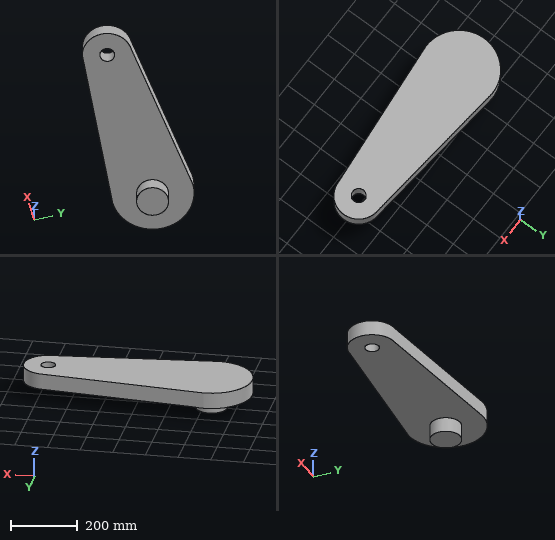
import cadquery as cq

center_distance = 500.0
large_end_radius = 125.0
small_end_radius = 75.0
plate_thickness = 50.0
pin_diameter = 96.0
pin_length = 48.0
hole_diameter = 44.0


def arm_plate():
    """Tapered plate with half-round ends; its underside lies on Z = 0.

    The straight sides join the ends of the two half circles, level with their centres.
    """
    return (
        cq.Workplane("XY")
        .moveTo(0, large_end_radius)
        .lineTo(center_distance, small_end_radius)
        .threePointArc(
            (center_distance + small_end_radius, 0),
            (center_distance, -small_end_radius),
        )
        .lineTo(0, -large_end_radius)
        .threePointArc((-large_end_radius, 0), (0, large_end_radius))
        .close()
        .extrude(plate_thickness)
    )


def pin():
    """Round pin hanging below the plate at the centre of the large end."""
    return cq.Workplane("XY").circle(pin_diameter / 2).extrude(-pin_length)


def through_hole():
    """Cutter for the hole through the plate at the centre of the small end."""
    return (
        cq.Workplane("XY")
        .center(center_distance, 0)
        .circle(hole_diameter / 2)
        .extrude(plate_thickness)
    )


result = arm_plate().union(pin()).cut(through_hole())